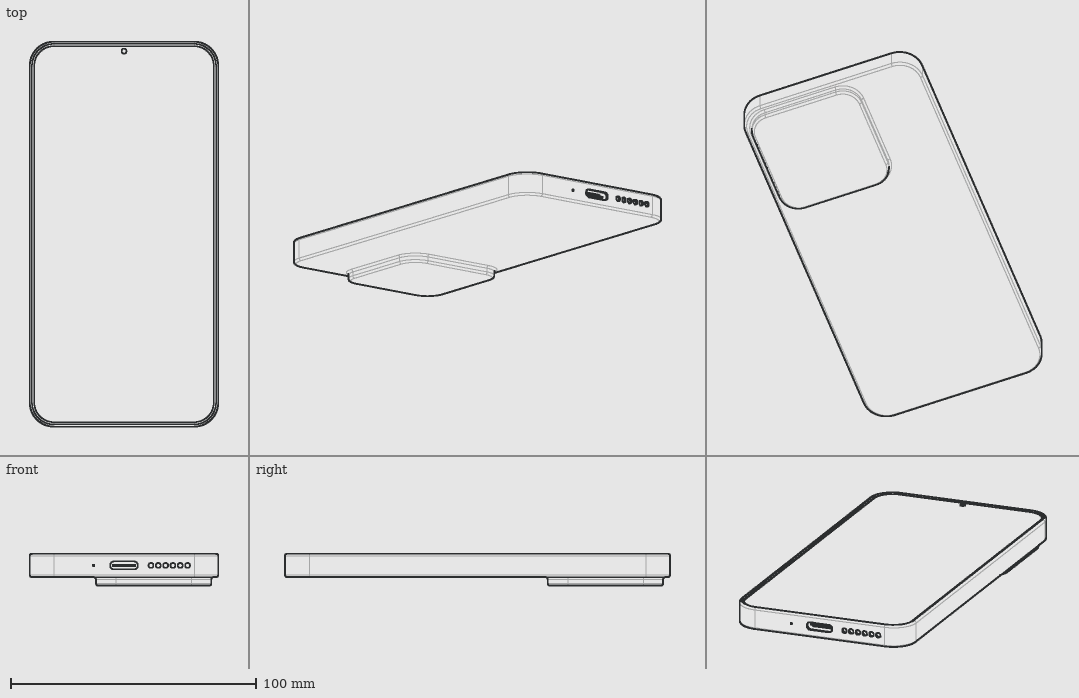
import cadquery as cq

case_width = 77.0
case_length = 157.0
case_height = 9.5
case_corner_radius = 9.9
case_edge_radius = 1.0
wall = 1.0

bump_size = 47.1
bump_height = 3.5
bump_corner_radius = 8.2
bump_margin = 2.8
bump_edge_radius = 1.0
bump_root_radius = 1.0

rim_height = 0.5
phone_edge_radius = 1.0
screen_thickness = 1.0

lens_diameter = 2.0
lens_rise = 0.2
lens_to_case_end = 4.0

port_width = 11.3
port_height = 3.3
port_depth = 4.7
tongue_width = 9.3
tongue_thickness = 0.5
tongue_setback = 2.2
speaker_diameter = 2.0
speaker_pitch = 3.0
speaker_count = 6
first_speaker_x = 11.0
microphone_diameter = 0.6
microphone_x = -12.4

bump_x = case_width / 2 - bump_margin - bump_size / 2
bump_y = case_length / 2 - bump_margin - bump_size / 2
phone_width = case_width - 2 * wall
phone_length = case_length - 2 * wall
phone_corner_radius = case_corner_radius - wall
phone_top = case_height - rim_height
screen_bottom = phone_top - screen_thickness
lens_y = case_length / 2 - lens_to_case_end
end_y = -case_length / 2
opening_z = case_height / 2


def rounded_block(width, length, height, corner_radius):
    """Block standing on z = 0 with its four upright edges rounded."""
    block = cq.Workplane().box(width, length, height, centered=(True, True, False))
    return block.edges("|Z").fillet(corner_radius)


def end_sketch(x, setback=0):
    """Sketch plane at the openings' height, a setback inside the -Y end; negative extrusions run inwards."""
    return cq.Workplane("XZ", origin=(x, end_y + setback, opening_z))


def end_hole(x, diameter):
    """Round cutter through the case wall."""
    return end_sketch(x).circle(diameter / 2).extrude(-wall)


def make_port_cutter():
    """Slot through the case wall into the phone, leaving a flat tongue standing in it."""
    slot = end_sketch(0).slot2D(port_width, port_height).extrude(-port_depth)
    tongue = end_sketch(0, tongue_setback).rect(tongue_width, tongue_thickness).extrude(-port_depth)
    return slot.cut(tongue)


def make_shell_with_bump():
    """Solid outer shape of the case, with the bump blended into the underside."""
    bump = rounded_block(bump_size, bump_size, bump_height, bump_corner_radius)
    bump = bump.faces("<Z").edges().fillet(bump_edge_radius)
    bump = bump.translate((bump_x, bump_y, -bump_height))
    body = rounded_block(case_width, case_length, case_height, case_corner_radius)
    body = body.faces("<Z or >Z").edges().fillet(case_edge_radius).union(bump)
    reach = bump_size / 2 + bump_margin / 4
    near_root = cq.selectors.BoxSelector(
        (bump_x - reach, bump_y - reach, -bump_height / 4),
        (bump_x + reach, bump_y + reach, bump_height / 4),
    )
    return body.edges("#Z").edges(near_root).fillet(bump_root_radius)


def make_case():
    case = make_shell_with_bump()
    cavity = rounded_block(phone_width, phone_length, case_height, phone_corner_radius)
    case = case.cut(cavity.translate((0, 0, wall)))
    case = case.cut(make_port_cutter())
    for index in range(speaker_count):
        case = case.cut(end_hole(first_speaker_x + index * speaker_pitch, speaker_diameter))
    return case.cut(end_hole(microphone_x, microphone_diameter))


def make_screen_blank():
    """Screen glass before its camera hole, inside the rounded edge of the phone."""
    blank = rounded_block(
        phone_width - 2 * phone_edge_radius,
        phone_length - 2 * phone_edge_radius,
        screen_thickness,
        phone_corner_radius - phone_edge_radius,
    )
    return blank.translate((0, 0, screen_bottom))


def make_phone():
    phone = rounded_block(phone_width, phone_length, phone_top - wall, phone_corner_radius)
    phone = phone.faces(">Z").edges().fillet(phone_edge_radius).translate((0, 0, wall))
    return phone.cut(make_screen_blank()).cut(make_port_cutter())


def make_screen():
    hole = cq.Workplane(origin=(0, lens_y, screen_bottom)).circle(lens_diameter / 2).extrude(screen_thickness)
    return make_screen_blank().cut(hole)


def make_lens():
    """Short cylinder with a spherical top that peaks level with the screen."""
    radius = lens_diameter / 2
    dome_radius = (radius**2 + lens_rise**2) / (2 * lens_rise)
    cylinder = cq.Workplane().circle(radius).extrude(screen_thickness)
    dome = cq.Workplane(origin=(0, 0, screen_thickness - dome_radius)).sphere(dome_radius)
    return cylinder.intersect(dome).translate((0, lens_y, screen_bottom))


case = make_case()
phone = make_phone()
screen = make_screen()
lens = make_lens()

result = cq.Compound.makeCompound([body.solids().val() for body in (case, phone, screen, lens)])